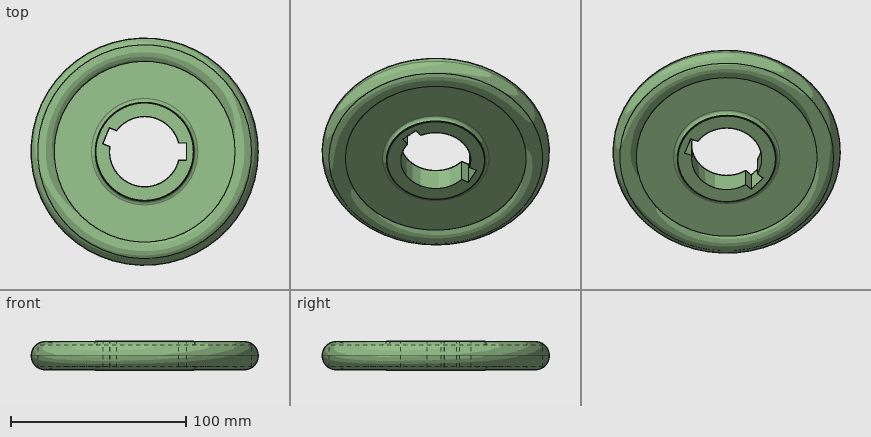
import cadquery as cq
import math

outer_diameter = 129.6
rim_thickness = 16.2
rim_section_radius = rim_thickness / 2
rim_ring_radius = outer_diameter / 2 - rim_section_radius

disc_diameter = 121.9
web_thickness = 12.5
hub_diameter = 56.3
hub_thickness = 17.0
hub_root_fillet = 2.2
hub_edge_chamfer = 0.4

bore_diameter = 39.9
keyway_width = 9.7
keyway_reach = 23.7
keyway_angles = (0.0, 157.5)


def centred_cylinder(diameter, height):
    """Cylinder on the Z axis, symmetric about the XY plane."""
    return cq.Workplane("XY").workplane(offset=-height / 2).circle(diameter / 2).extrude(height)


def make_disc():
    """Mirrored half of web and hub, revolved and then cut by the bore and its keyways."""
    web_half = web_thickness / 2
    hub_half = hub_thickness / 2
    hub_radius = hub_diameter / 2
    fillet_centre = (hub_radius + hub_root_fillet, web_half + hub_root_fillet)
    fillet_mid_offset = hub_root_fillet * math.sqrt(0.5)
    fillet_mid = (fillet_centre[0] - fillet_mid_offset, fillet_centre[1] - fillet_mid_offset)
    upper_half = (
        cq.Workplane("XZ")
        .moveTo(0, 0)
        .lineTo(disc_diameter / 2, 0)
        .lineTo(disc_diameter / 2, web_half)
        .lineTo(fillet_centre[0], web_half)
        .threePointArc(fillet_mid, (hub_radius, fillet_centre[1]))
        .lineTo(hub_radius, hub_half)
        .lineTo(0, hub_half)
        .close()
        .revolve(360, (0, 0, 0), (0, 1, 0))
        .faces(">Z")
        .chamfer(hub_edge_chamfer)
    )
    disc = upper_half.union(upper_half.mirror("XY"))
    disc = disc.cut(centred_cylinder(bore_diameter, hub_thickness))
    for angle in keyway_angles:
        disc = disc.cut(keyway(angle))
    return disc


def keyway(angle):
    """Rectangular slot from the bore axis outwards, turned about Z."""
    slot = cq.Workplane("XY").box(keyway_reach, keyway_width, hub_thickness)
    return slot.translate((keyway_reach / 2, 0, 0)).rotate((0, 0, 0), (0, 0, 1), angle)


def make_rim():
    """Round-section ring with a recess that holds the edge of the disc."""
    ring = cq.Workplane("XY").add(cq.Solid.makeTorus(rim_ring_radius, rim_section_radius))
    return ring.cut(centred_cylinder(disc_diameter, web_thickness))


disc = make_disc()
rim = make_rim()

result = cq.Compound.makeCompound([disc.val(), rim.val()])